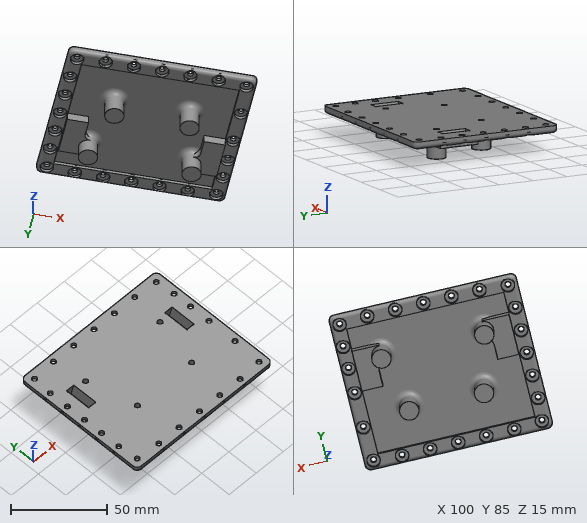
import cadquery as cq
import math

PLATE_LENGTH = 100
PLATE_WIDTH = 85
PLATE_THICKNESS = 4
PLATE_CORNER_RADIUS = 3
PLATE_EDGE_RADIUS = 2

RECESS_CEILING_Z = -2
RIM_WIDTH = 8

HOLE_DIAMETER = 3
COUNTERBORE_DIAMETER = 7
COUNTERBORE_DEPTH = 2
CORNER_HOLE_X = 45
CORNER_HOLE_Y = 37.5
LONG_SIDE_HOLE_Y = 38.5
LONG_SIDE_PITCH = 15
SHORT_SIDE_HOLE_X = 46
LEFT_SIDE_PITCH = 12.5
RIGHT_SIDE_HOLE_YS = (25.5, 13.5, 0, -19)

TOTAL_HEIGHT = 15
BOSS_DIAMETER = 10
BOSS_RADIUS = BOSS_DIAMETER / 2
BOSS_ROOT_RADIUS = 3
BACK_BOSS_X = 27.5
BACK_BOSS_Y = 17.5
FRONT_BOSS_X = 20
FRONT_BOSS_Y = -13
BLIND_HOLE_DEPTH = 12

HOUSING_OUTER_X = 42
HOUSING_INNER_X = 30.7
HOUSING_FRONT_Y = 1
HOUSING_BACK_Y = 23
HOUSING_BOTTOM_Z = -7
WEB_RADIUS = HOUSING_INNER_X - BACK_BOSS_X

SLOT_CENTER_X = 36.3
SLOT_CENTER_Y = (HOUSING_FRONT_Y + HOUSING_BACK_Y) / 2
SLOT_LENGTH = 16
SLOT_TOP_WIDTH = 5.2
SLOT_FLOOR_WIDTH = 1.2
SLOT_DEPTH = 5.5


def make_plate():
    """Plate with rounded corners, a rounded lower edge and a recessed underside."""
    plate = cq.Workplane("XY").rect(PLATE_LENGTH, PLATE_WIDTH).extrude(-PLATE_THICKNESS)
    plate = plate.edges("|Z").fillet(PLATE_CORNER_RADIUS)
    plate = plate.faces("<Z").edges().fillet(PLATE_EDGE_RADIUS)
    recess = (
        cq.Workplane("XY", origin=(0, 0, RECESS_CEILING_Z))
        .rect(PLATE_LENGTH - 2 * RIM_WIDTH, PLATE_WIDTH - 2 * RIM_WIDTH)
        .extrude(-PLATE_THICKNESS - RECESS_CEILING_Z)
    )
    return plate.cut(recess)


def make_boss(x, y):
    """Boss that flares into the recess ceiling with a concave root fillet."""
    arc_middle = BOSS_ROOT_RADIUS * (1 - math.sqrt(0.5))
    profile = (
        cq.Workplane("XZ")
        .moveTo(0, RECESS_CEILING_Z)
        .lineTo(BOSS_RADIUS + BOSS_ROOT_RADIUS, RECESS_CEILING_Z)
        .threePointArc(
            (BOSS_RADIUS + arc_middle, RECESS_CEILING_Z - arc_middle),
            (BOSS_RADIUS, RECESS_CEILING_Z - BOSS_ROOT_RADIUS),
        )
        .lineTo(BOSS_RADIUS, -TOTAL_HEIGHT)
        .lineTo(0, -TOTAL_HEIGHT)
        .close()
    )
    return profile.revolve(360, (0, 0), (0, 1)).translate((x, y, 0))


def make_housing():
    """Right-hand slot housing, joined to its boss by a web with a concave front."""
    web_y = BACK_BOSS_Y - BOSS_RADIUS
    outline = (
        cq.Workplane("XY")
        .moveTo(HOUSING_OUTER_X, HOUSING_FRONT_Y)
        .lineTo(HOUSING_OUTER_X, HOUSING_BACK_Y)
        .lineTo(BACK_BOSS_X, HOUSING_BACK_Y)
        .lineTo(BACK_BOSS_X, web_y)
        .radiusArc((HOUSING_INNER_X, web_y - WEB_RADIUS), WEB_RADIUS)
        .lineTo(HOUSING_INNER_X, HOUSING_FRONT_Y)
        .close()
    )
    return outline.extrude(HOUSING_BOTTOM_Z)


def make_slot(x):
    """Trapezoid channel, wide at the plate's top face and narrow at its floor."""
    half_top = SLOT_TOP_WIDTH / 2
    half_floor = SLOT_FLOOR_WIDTH / 2
    profile = (
        cq.Workplane("XZ")
        .moveTo(-half_top, 0)
        .lineTo(half_top, 0)
        .lineTo(half_floor, -SLOT_DEPTH)
        .lineTo(-half_floor, -SLOT_DEPTH)
        .close()
    )
    channel = profile.extrude(SLOT_LENGTH / 2, both=True)
    return channel.translate((x, SLOT_CENTER_Y, 0))


def make_pins(points, diameter, top_z, length):
    """Cylinders reaching down from top_z, used to cut holes."""
    pins = cq.Workplane("XY", origin=(0, 0, top_z)).pushPoints(points)
    return pins.circle(diameter / 2).extrude(-length)


signs = (-1, 1)
boss_points = [(side * BACK_BOSS_X, BACK_BOSS_Y) for side in signs]
boss_points += [(side * FRONT_BOSS_X, FRONT_BOSS_Y) for side in signs]

rim_points = [(side * CORNER_HOLE_X, end * CORNER_HOLE_Y) for side in signs for end in signs]
rim_points += [(i * LONG_SIDE_PITCH, end * LONG_SIDE_HOLE_Y) for i in range(-2, 3) for end in signs]
rim_points += [(-SHORT_SIDE_HOLE_X, i * LEFT_SIDE_PITCH) for i in range(-2, 3)]
rim_points += [(SHORT_SIDE_HOLE_X, y) for y in RIGHT_SIDE_HOLE_YS]

result = make_plate()
for boss_x, boss_y in boss_points:
    result = result.union(make_boss(boss_x, boss_y))
housing = make_housing()
result = result.union(housing).union(housing.mirror("YZ"))

for side in signs:
    result = result.cut(make_slot(side * SLOT_CENTER_X))
counterbore_top_z = COUNTERBORE_DEPTH - PLATE_THICKNESS
result = result.cut(make_pins(rim_points, HOLE_DIAMETER, 0, PLATE_THICKNESS))
result = result.cut(make_pins(rim_points, COUNTERBORE_DIAMETER, counterbore_top_z, COUNTERBORE_DEPTH))
result = result.cut(make_pins(boss_points, HOLE_DIAMETER, 0, BLIND_HOLE_DEPTH))